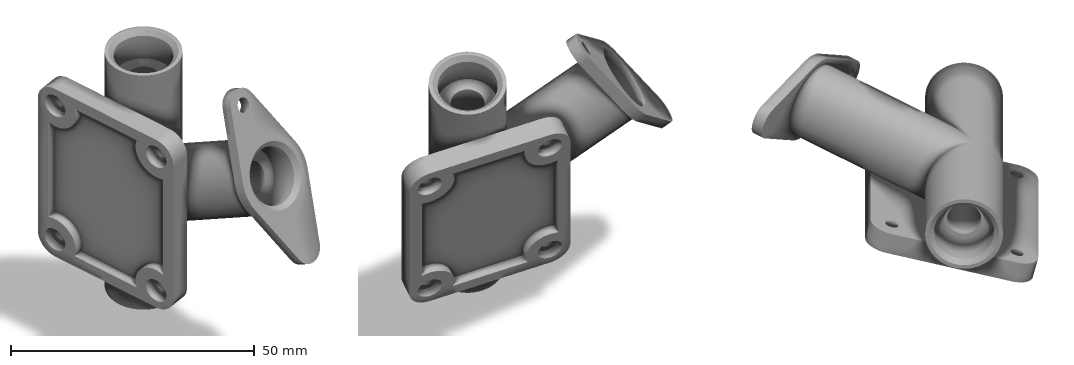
import cadquery as cq
import math

pipe_radius = 7.985
pipe_length = 62.05
bore_diameter = 7.0
socket_diameter = 12.3
socket_depth = 7.0
socket_chamfer = 1.0

branch_angle = 30.0
branch_start_z = -4.4
branch_length = 39.9

flange_length = 40.6
flange_thickness = 2.5
flange_middle_radius = 9.25
flange_tip_radius = 3.6
flange_hole_diameter = 3.2
flange_hole_offset = flange_length / 2 - flange_tip_radius

plate_width = 35.5
plate_height = 44.4
plate_thickness = 4.5
plate_corner_radius = 4.5
plate_back_y = -pipe_radius
plate_front_y = plate_back_y - plate_thickness
pocket_margin = 2.7
pocket_depth = 2.0
boss_radius = 5.4
screw_diameter = 2.75
counterbore_diameter = 5.4
counterbore_depth = 2.0
screw_spacing_x = plate_width - 2 * plate_corner_radius
screw_spacing_z = plate_height - 2 * plate_corner_radius


def end_plane(origin, outward):
    """Plane on a pipe end: local Z points out of the pipe, local Y is global Y."""
    x_direction = cq.Vector(0, 1, 0).cross(cq.Vector(*outward))
    return cq.Plane(origin=origin, xDir=x_direction.toTuple(), normal=outward)


def socket_cutter(plane):
    """Round socket with a chamfered mouth, sunk into a pipe end."""
    socket = cq.Workplane(plane).circle(socket_diameter / 2).extrude(-socket_depth)
    mouth_radius = socket_diameter / 2 + socket_chamfer
    mouth = cq.Workplane(plane).circle(mouth_radius).extrude(-socket_chamfer, taper=45)
    return socket.union(mouth)


def make_flange(plane):
    """Plate bounded by a middle circle, two tip circles and their common tangents."""
    tangent_sin = (flange_middle_radius - flange_tip_radius) / flange_hole_offset
    tangent_cos = math.sqrt(1 - tangent_sin**2)
    middle_x = flange_middle_radius * tangent_sin
    middle_y = flange_middle_radius * tangent_cos
    tip_x = flange_hole_offset + flange_tip_radius * tangent_sin
    tip_y = flange_tip_radius * tangent_cos
    return (
        cq.Workplane(plane)
        .moveTo(-middle_x, middle_y)
        .threePointArc((0, flange_middle_radius), (middle_x, middle_y))
        .lineTo(tip_x, tip_y)
        .threePointArc((flange_length / 2, 0), (tip_x, -tip_y))
        .lineTo(middle_x, -middle_y)
        .threePointArc((0, -flange_middle_radius), (-middle_x, -middle_y))
        .lineTo(-tip_x, -tip_y)
        .threePointArc((-flange_length / 2, 0), (-tip_x, tip_y))
        .close()
        .extrude(-flange_thickness)
    )


def make_pipe():
    """Main run with its branch, bores, sockets and a flange with one hole in its upper tip."""
    angle = math.radians(branch_angle)
    branch_direction = (math.cos(angle), 0, math.sin(angle))
    branch_end = (
        branch_length * math.cos(angle),
        0,
        branch_start_z + branch_length * math.sin(angle),
    )
    top_plane = end_plane((0, 0, pipe_length / 2), (0, 0, 1))
    bottom_plane = end_plane((0, 0, -pipe_length / 2), (0, 0, -1))
    branch_plane = end_plane(branch_end, branch_direction)

    main_run = cq.Workplane(top_plane).circle(pipe_radius).extrude(-pipe_length)
    branch = cq.Workplane(branch_plane).circle(pipe_radius).extrude(-branch_length)
    body = main_run.union(branch).union(make_flange(branch_plane))

    main_bore = cq.Workplane(top_plane).circle(bore_diameter / 2).extrude(-pipe_length)
    branch_bore = cq.Workplane(branch_plane).circle(bore_diameter / 2).extrude(-branch_length)
    body = body.cut(main_bore).cut(branch_bore)
    for plane in (top_plane, bottom_plane, branch_plane):
        body = body.cut(socket_cutter(plane))

    flange_hole = (
        cq.Workplane(branch_plane)
        .center(-flange_hole_offset, 0)
        .circle(flange_hole_diameter / 2)
        .extrude(-flange_thickness)
    )
    return body.cut(flange_hole)


def make_plate():
    """Rounded plate with a front pocket and four counterbored corner bosses."""
    front = cq.Workplane("XZ", origin=(0, plate_front_y, 0))
    plate = (
        front.rect(plate_width, plate_height)
        .extrude(-plate_thickness)
        .edges("|Y")
        .fillet(plate_corner_radius)
    )
    pocket = front.rect(
        plate_width - 2 * pocket_margin, plate_height - 2 * pocket_margin
    ).extrude(-pocket_depth)
    screw_layout = front.rect(screw_spacing_x, screw_spacing_z, forConstruction=True).vertices()
    bosses = screw_layout.circle(boss_radius).extrude(-pocket_depth)
    screw_holes = screw_layout.circle(screw_diameter / 2).extrude(-plate_thickness)
    counterbores = screw_layout.circle(counterbore_diameter / 2).extrude(-counterbore_depth)
    return plate.cut(pocket.cut(bosses)).cut(screw_holes).cut(counterbores)


pipe = make_pipe()
plate = make_plate()
result = cq.Compound.makeCompound([pipe.solids().val(), plate.solids().val()])